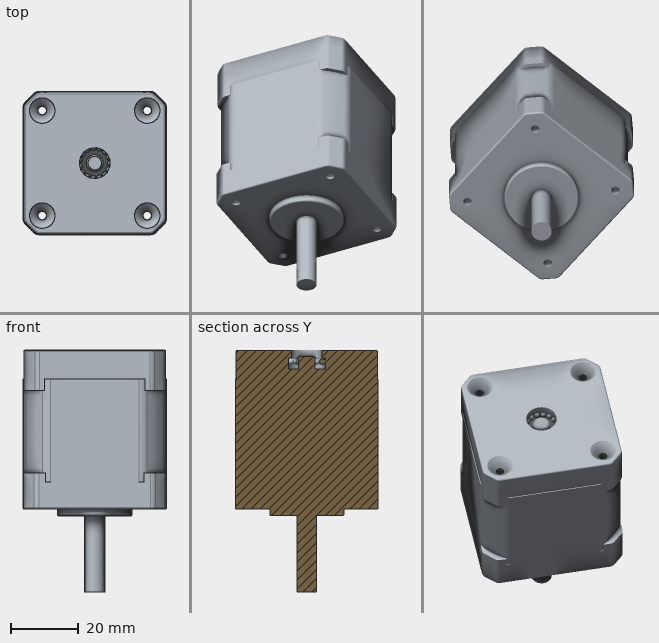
import cadquery as cq
import math


body_width = 42.3
body_height = 47.0

stator_corner_radius = 25.56
stator_edge_fillet = 4.0

cap_chamfer = 3.8
cap_corner_fillet = 2.0
rim_fillet = 0.5

front_cap_height = 8.0
front_post_height = 2.75
front_post_inset = 14.6

rear_cap_width = 41.85
rear_cap_height = 8.6
rear_post_height = 3.4
rear_post_inset = 14.85

pilot_diameter = 22.0
pilot_height = 2.0
pilot_fillet = 0.5
shaft_diameter = 6.0
shaft_length = 22.5

hole_spacing = 31.0
hole_diameter = 2.5
countersink_diameter = 7.5
countersink_angle = 90.0

opening_diameter = 9.0
opening_lip = 2.5
race_diameter = 10.79
race_floor_depth = 5.5
ball_count = 15
ball_circle_diameter = 9.25
ball_diameter = 1.79
ball_depth = 3.4
stub_diameter = 5.0
stub_depth = 1.85
stub_chamfer = 0.5


def square_prism(width, z_bottom, z_top):
    prism = cq.Workplane("XY").workplane(offset=z_bottom)
    return prism.rect(width, width).extrude(z_top - z_bottom)


def disc(diameter, z_bottom, z_top):
    return cq.Workplane("XY").workplane(offset=z_bottom).circle(diameter / 2).extrude(z_top - z_bottom)


def make_stator():
    """Square core whose corners follow a large cylinder about the motor axis."""
    z_bottom = front_cap_height
    z_top = body_height - rear_cap_height
    core = square_prism(body_width, z_bottom, z_top)
    core = core.intersect(disc(2 * stator_corner_radius, z_bottom, z_top))
    return core.edges("|Z").fillet(stator_edge_fillet)


def make_cap_blank(width, z_bottom, z_top):
    """Square prism with chamfered corners that are rounded off at both ends."""
    blank = square_prism(width, z_bottom, z_top)
    return blank.edges("|Z").chamfer(cap_chamfer).edges("|Z").fillet(cap_corner_fillet)


def trim_to_posts(cap, post_inset, z_bottom, z_top):
    """Between the two levels keep the cap only as a post at each corner."""
    length = z_top - z_bottom
    level = cq.Workplane("XY").workplane(offset=z_bottom)
    gap_x = level.rect(2 * post_inset, 2 * body_width).extrude(length)
    gap_y = level.rect(2 * body_width, 2 * post_inset).extrude(length)
    return cap.cut(gap_x).cut(gap_y)


def make_front_cap():
    post_top = front_cap_height + front_post_height
    cap = make_cap_blank(body_width, 0, post_top)
    cap = cap.faces("<Z").edges().fillet(rim_fillet)
    return trim_to_posts(cap, front_post_inset, front_cap_height, post_top)


def make_rear_cap():
    cap_bottom = body_height - rear_cap_height
    post_bottom = cap_bottom - rear_post_height
    cap = make_cap_blank(rear_cap_width, post_bottom, body_height)
    cap = cap.faces(">Z").edges().fillet(rim_fillet)
    return trim_to_posts(cap, rear_post_inset, post_bottom, cap_bottom)


def make_pilot_and_shaft():
    pilot = disc(pilot_diameter, -pilot_height, 0).faces("<Z").edges().fillet(pilot_fillet)
    return pilot.union(disc(shaft_diameter, -pilot_height - shaft_length, 0))


def cut_mounting_holes(body):
    top = body.faces(">Z").workplane(origin=(0, 0, body_height))
    holes = top.rect(hole_spacing, hole_spacing, forConstruction=True).vertices()
    return holes.cskHole(hole_diameter, countersink_diameter, countersink_angle)


def make_ball(index):
    """One bearing ball, slightly embedded in the wall of the race."""
    circle_radius = ball_circle_diameter / 2
    angle = 2 * math.pi * index / ball_count
    center = (circle_radius * math.cos(angle), circle_radius * math.sin(angle), body_height - ball_depth)
    return cq.Workplane("XY").sphere(ball_diameter / 2).translate(center)


def add_rear_bearing(body):
    """Open the rear cap over a ball race and leave the chamfered shaft end standing inside."""
    floor_z = body_height - race_floor_depth
    lip_z = body_height - opening_lip
    body = body.cut(disc(opening_diameter, lip_z, body_height))
    body = body.cut(disc(race_diameter, floor_z, lip_z))
    stub = disc(stub_diameter, floor_z, body_height - stub_depth).faces(">Z").chamfer(stub_chamfer)
    body = body.union(stub)
    for index in range(ball_count):
        body = body.union(make_ball(index))
    return body


motor = make_stator().union(make_front_cap()).union(make_rear_cap()).union(make_pilot_and_shaft())
motor = cut_mounting_holes(motor)
result = add_rear_bearing(motor)